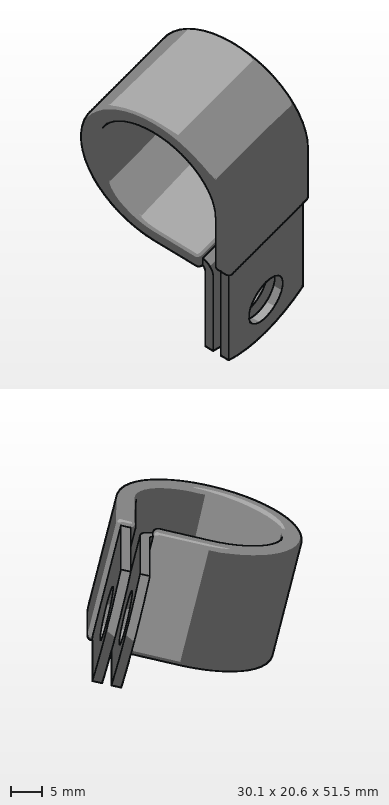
import cadquery as cq
import math

outer_diameter = 30.05
total_height = 51.5
cushion_width = 20.65
cushion_thickness = 3.2
strap_thickness = 1.6

side_leg_end = 12.7
bottom_leg_end = 9.05
bend_inner_radius = 1.4
bent_tab_right = 11.15

hole_diameter = 8.65
hole_height = -28.5
tab_end_sagitta = 2.15

outer_radius = outer_diameter / 2
inner_radius = outer_radius - cushion_thickness
mid_radius = (outer_radius + inner_radius) / 2
strap_cover = (cushion_thickness - strap_thickness) / 2
edge_round = strap_cover
strap_width = cushion_width - 2 * strap_cover
strap_outer = mid_radius + strap_thickness / 2
strap_inner = mid_radius - strap_thickness / 2
tab_bottom = outer_radius - total_height


def extrude_centered(profile, width):
    """Extrude a closed XZ profile symmetrically about the Y = 0 plane."""
    return profile.close().extrude(width / 2, both=True)


def make_cushion():
    """Three-quarter loop with two straight legs, rounded along its rims and ends."""
    diagonal = math.sqrt(0.5)
    profile = (
        cq.Workplane("XZ")
        .moveTo(outer_radius, -side_leg_end)
        .lineTo(outer_radius, 0)
        .threePointArc((-outer_radius * diagonal, outer_radius * diagonal), (0, -outer_radius))
        .lineTo(bottom_leg_end, -outer_radius)
        .lineTo(bottom_leg_end, -inner_radius)
        .lineTo(0, -inner_radius)
        .threePointArc((-inner_radius * diagonal, inner_radius * diagonal), (inner_radius, 0))
        .lineTo(inner_radius, -side_leg_end)
    )
    body = extrude_centered(profile, cushion_width)
    rims = body.faces("<Y or >Y").edges()
    side_end = body.faces(cq.selectors.NearestToPointSelector((mid_radius, 0, -side_leg_end)))
    bottom_end = body.faces(cq.selectors.NearestToPointSelector((bottom_leg_end, 0, -mid_radius)))
    end_edges = side_end.edges("|Y").add(bottom_end.edges("|Y"))
    return rims.add(end_edges).edges().fillet(edge_round)


def make_straight_tab():
    """Strap leaving the vertical leg; it starts inside the cushion."""
    start = -side_leg_end + cushion_thickness
    profile = (
        cq.Workplane("XZ")
        .moveTo(strap_inner, start)
        .lineTo(strap_outer, start)
        .lineTo(strap_outer, tab_bottom)
        .lineTo(strap_inner, tab_bottom)
    )
    return extrude_centered(profile, strap_width)


def make_bent_tab():
    """Strap leaving the horizontal leg and bending down beside the straight tab."""
    bend_outer_radius = bend_inner_radius + strap_thickness
    bend_x = bent_tab_right - bend_outer_radius
    bend_z = -strap_inner - bend_outer_radius
    start = bottom_leg_end - cushion_thickness
    profile = (
        cq.Workplane("XZ")
        .moveTo(start, -strap_inner)
        .lineTo(bend_x, -strap_inner)
        .radiusArc((bent_tab_right, bend_z), bend_outer_radius)
        .lineTo(bent_tab_right, tab_bottom)
        .lineTo(bent_tab_right - strap_thickness, tab_bottom)
        .lineTo(bent_tab_right - strap_thickness, bend_z)
        .radiusArc((bend_x, -strap_outer), -bend_inner_radius)
        .lineTo(start, -strap_outer)
    )
    return extrude_centered(profile, strap_width)


def make_tab_outline():
    """Tab face with its curved lower end and bolt hole, extruded along X."""
    half_width = strap_width / 2
    corner_z = tab_bottom + tab_end_sagitta
    outline = (
        cq.Workplane("YZ")
        .moveTo(-half_width, 0)
        .lineTo(-half_width, corner_z)
        .threePointArc((0, tab_bottom), (half_width, corner_z))
        .lineTo(half_width, 0)
        .close()
        .extrude(outer_radius)
    )
    hole = cq.Workplane("YZ").center(0, hole_height).circle(hole_diameter / 2).extrude(outer_radius)
    return outline.cut(hole)


tabs = make_straight_tab().union(make_bent_tab()).intersect(make_tab_outline())
result = make_cushion().union(tabs)